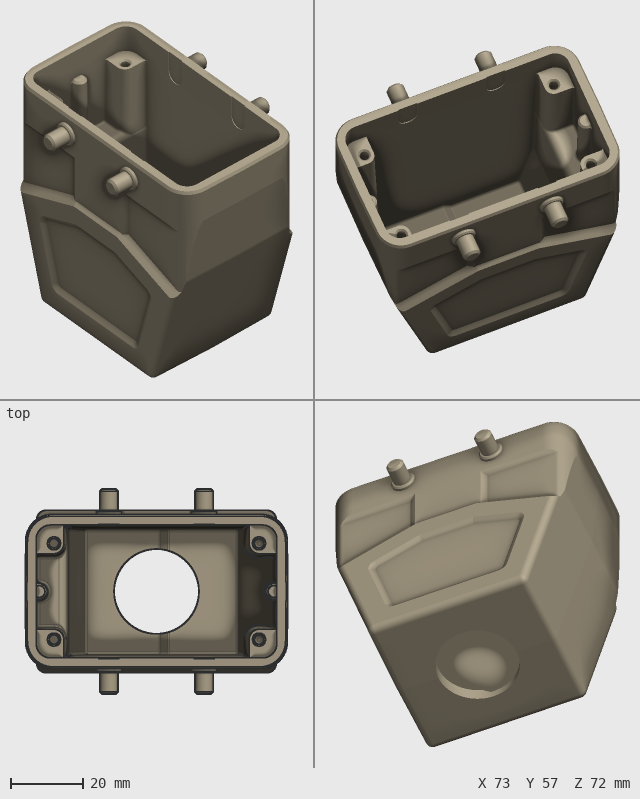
import cadquery as cq
import math

LENGTH = 73.0
HEIGHT = 72.0
RIM_WIDTH = 42.85
BASE_WIDTH = 45.1
RIM_CORNER_RADIUS = 7.45
RIM_EDGE_INSET = 0.5
RIM_EDGE_DROP = 0.9
MOULD_DRAFT = 0.7
FLANK_TOP_Z = 60.8
FLANK_BEND_X = 34.5
FLANK_BEND_RADIUS = 5.85
FLANK_BEND_Z = 40.0
BASE_SIDE_ANGLE = 15.0
BASE_EDGE_RADIUS = 2.05

ROOF_HALF_WIDTH = 9.05
ROOF_Z = 42.85
ROOF_PITCH = 20.4
ROOF_BEVEL = 44.0

RECESS_DEPTH = 1.0
RECESS_SLOPE = 60.0
WINDOW_INNER_X = 9.85
WINDOW_TOP_Z = 59.0
WINDOW_EDGE_RADIUS = 1.75
PANEL_HALF_TOP = 8.1
PANEL_TOP_Z = 36.95
PANEL_BOTTOM_Z = 7.75
PANEL_HALF_BOTTOM = 17.8
PANEL_CORNER_RADIUS = 2.9

PIN_X = 13.2
PIN_Z = 65.7
PIN_RADIUS = 2.55
PIN_SPAN = 57.0
PIN_TIP_CHAMFER = 0.65
COLLAR_RADIUS = 3.5
COLLAR_CHAMFER = 0.45

MOUTH_LENGTH = 66.9
MOUTH_WIDTH = 36.95
MOUTH_CORNER_RADIUS = 4.1
MOUTH_FLOOR_Z = 63.3
CAVITY_DRAFT = 1.0
CAVITY_BEND_X = 32.2
LEFT_FLOOR_Z = 2.55
RIGHT_FLOOR_Z = 4.2
FLOOR_STEP_START_X = 0.9
FLOOR_STEP_END_X = 3.2
RIGHT_FLOOR_X = 22.6
LEFT_FLOOR_X = -19.85
LEDGE_Z = 41.6
LEDGE_OUTER_X = -33.15
LEDGE_INNER_X = -25.0
LEDGE_RADIUS = 2.2
LEFT_SLOPE_X = -24.3
LEFT_SLOPE_Z = 19.0
LEDGE_BORDER_RADIUS = 0.7
FLOOR_RADIUS = 0.9
OPENING_DIAMETER = 23.5

POST_INNER_X = 25.8
POST_INNER_Y = 10.5
POST_CORNER_RADIUS = 2.6
POST_WALL_RADIUS = 0.7
POST_DRAFT = 1.8
SCREW_X = 28.5
SCREW_Y = 13.35
SCREW_RADIUS = 1.3
SCREW_CHAMFER = 0.5
SCREW_DEPTH = 14.6
KEY_X = 32.55
KEY_TOP_Z = 62.5
KEY_RADIUS = 2.2
KEY_CHAMFER = 0.6
KEY_DRAFT = 1.0
GROOVE_WIDTH = 5.55
GROOVE_DEPTH = 0.2
GROOVE_CENTRE_Z = 65.25

OVERSHOOT = 3.65
SIDE_SLOPE = math.tan(math.radians(BASE_SIDE_ANGLE))
ROOF_SLOPE = math.tan(math.radians(ROOF_PITCH))


def on_both_long_sides(shape):
    """The shape together with its mirror image in the plane Y = 0."""
    return shape.union(shape.mirror("XZ"))


def long_face_sketch(y):
    """Workplane on the plane Y = y, with local x = X, local y = Z, normal -Y."""
    return cq.Workplane("XZ", origin=(0, y, 0))


def flank_block():
    """Front outline drawn out from the parting plane to -Y with draft, its edges rounded."""
    half = LENGTH / 2
    bottom = FLANK_BEND_X - FLANK_BEND_Z * SIDE_SLOPE
    top_z = HEIGHT + OVERSHOOT
    half_block = (
        long_face_sketch(0)
        .polyline([
            (-bottom, 0), (bottom, 0), (FLANK_BEND_X, FLANK_BEND_Z), (half, FLANK_TOP_Z), (half, top_z),
            (-half, top_z), (-half, FLANK_TOP_Z), (-FLANK_BEND_X, FLANK_BEND_Z),
        ])
        .close()
        .extrude(BASE_WIDTH / 2, taper=MOULD_DRAFT)
    )
    for side in (-1, 1):
        bend = cq.selectors.NearestToPointSelector((side * FLANK_BEND_X, -BASE_WIDTH / 4, FLANK_BEND_Z))
        half_block = half_block.edges(bend).fillet(FLANK_BEND_RADIUS)
    bottom_ends = half_block.faces("<Z").edges("not |X")
    long_face_edges = half_block.faces("<Y").edges("not >Z")
    return half_block.newObject(bottom_ends.vals() + long_face_edges.vals()).fillet(BASE_EDGE_RADIUS)


def window_cutter(side):
    """Recess beside the middle web; it runs out over the corner and down behind the base."""
    outer_x = LENGTH
    bottom_z = -OVERSHOOT
    return (
        long_face_sketch(-RIM_WIDTH / 2)
        .moveTo(side * (WINDOW_INNER_X + outer_x) / 2, (WINDOW_TOP_Z + bottom_z) / 2)
        .rect(outer_x - WINDOW_INNER_X, WINDOW_TOP_Z - bottom_z)
        .extrude(-RECESS_DEPTH, taper=RECESS_SLOPE)
    )


def upper_half(block):
    """Half of the hood with the rounded plan and bevelled rim, recessed beside the middle web."""
    half_width = RIM_WIDTH / 2
    half_end = LENGTH / 2 - half_width * math.tan(math.radians(MOULD_DRAFT))
    plan = (
        cq.Workplane("XY")
        .polyline([
            (-LENGTH / 2, 0), (-half_end, -half_width), (half_end, -half_width), (LENGTH / 2, 0),
        ])
        .close()
        .extrude(HEIGHT)
        .edges("|Z and (not <X) and (not >X)")
        .fillet(RIM_CORNER_RADIUS)
        .faces(">Z")
        .edges("not >Y")
        .chamfer(RIM_EDGE_DROP, RIM_EDGE_INSET)
    )
    upper = block.intersect(plan)
    for side in (-1, 1):
        upper = upper.cut(window_cutter(side))
    window_floor_y = RECESS_DEPTH - half_width
    for side in (-1, 1):
        outer_edge = cq.selectors.NearestToPointSelector((side * LENGTH / 2, window_floor_y, LEDGE_Z))
        upper = upper.edges("|Z").edges(outer_edge).fillet(WINDOW_EDGE_RADIUS)
    return upper


def panel_cutter():
    """Five-sided shallow panel with sloping borders."""
    rise = PANEL_TOP_Z - PANEL_BOTTOM_Z
    corner_x = PANEL_HALF_BOTTOM + SIDE_SLOPE * (rise + ROOF_SLOPE * PANEL_HALF_TOP)
    corner_x /= 1 + SIDE_SLOPE * ROOF_SLOPE
    corner_z = PANEL_TOP_Z - ROOF_SLOPE * (corner_x - PANEL_HALF_TOP)
    outline = [
        (-PANEL_HALF_BOTTOM, PANEL_BOTTOM_Z), (PANEL_HALF_BOTTOM, PANEL_BOTTOM_Z), (corner_x, corner_z),
        (PANEL_HALF_TOP, PANEL_TOP_Z), (-PANEL_HALF_TOP, PANEL_TOP_Z), (-corner_x, corner_z),
    ]
    sketch = cq.Sketch().polygon(outline + outline[:1])
    sketch = sketch.vertices("<Y or <X or >X").fillet(PANEL_CORNER_RADIUS)
    return long_face_sketch(-BASE_WIDTH / 2).placeSketch(sketch).extrude(-RECESS_DEPTH, taper=RECESS_SLOPE)


def base_half(block):
    """Half of the thicker base under the bevelled roof line, with its recessed panel."""
    reach = LENGTH
    eave_z = ROOF_Z - ROOF_SLOPE * (reach - ROOF_HALF_WIDTH)
    under_roof = (
        long_face_sketch(-BASE_WIDTH / 2)
        .polyline([
            (-reach, -reach), (reach, -reach), (reach, eave_z), (ROOF_HALF_WIDTH, ROOF_Z),
            (-ROOF_HALF_WIDTH, ROOF_Z), (-reach, eave_z),
        ])
        .close()
        .extrude(-BASE_WIDTH / 2, taper=-ROOF_BEVEL)
    )
    return block.intersect(under_roof).cut(panel_cutter())


def outer_body():
    """Solid hood without its cavity."""
    block = flank_block()
    return on_both_long_sides(upper_half(block).union(base_half(block)))


def add_pins(body):
    """Two locking pins with collars on each long side."""
    wall_y = RIM_WIDTH / 2
    collar_y = BASE_WIDTH / 2
    inside_y = wall_y - 0.7
    start = long_face_sketch(-inside_y).pushPoints([(-PIN_X, PIN_Z), (PIN_X, PIN_Z)])
    collars = start.circle(COLLAR_RADIUS).extrude(collar_y - inside_y).faces("<Y").chamfer(COLLAR_CHAMFER)
    start = long_face_sketch(-inside_y).pushPoints([(-PIN_X, PIN_Z), (PIN_X, PIN_Z)])
    pins = start.circle(PIN_RADIUS).extrude(PIN_SPAN / 2 - inside_y).faces("<Y").chamfer(PIN_TIP_CHAMFER)
    return body.union(on_both_long_sides(collars)).union(on_both_long_sides(pins))


def cavity():
    """Hollow below the mouth, with a stepped floor, a ledge on the left and a sloping wall on the right."""
    mouth_x = MOUTH_LENGTH / 2
    mouth_y = MOUTH_WIDTH / 2
    section = (
        long_face_sketch(mouth_y)
        .polyline([
            (-mouth_x, MOUTH_FLOOR_Z), (LEDGE_OUTER_X, LEDGE_Z), (LEDGE_INNER_X, LEDGE_Z),
            (LEFT_SLOPE_X, LEFT_SLOPE_Z), (LEFT_FLOOR_X, LEFT_FLOOR_Z), (FLOOR_STEP_START_X, LEFT_FLOOR_Z),
            (FLOOR_STEP_END_X, RIGHT_FLOOR_Z), (RIGHT_FLOOR_X, RIGHT_FLOOR_Z),
            (CAVITY_BEND_X, FLANK_BEND_Z), (mouth_x, MOUTH_FLOOR_Z),
        ])
        .close()
        .extrude(MOUTH_WIDTH)
    )
    side_draft = (
        cq.Workplane("XY", origin=(0, 0, MOUTH_FLOOR_Z))
        .rect(2 * LENGTH, MOUTH_WIDTH)
        .extrude(-MOUTH_FLOOR_Z, taper=CAVITY_DRAFT)
    )
    lower = section.intersect(side_draft)
    ledge_edge = cq.selectors.NearestToPointSelector((LEDGE_INNER_X, 0, LEDGE_Z))
    lower = lower.edges(ledge_edge).fillet(LEDGE_RADIUS)
    floor_zone = cq.selectors.BoxSelector((-LENGTH, -LENGTH, 0), (LENGTH, LENGTH, LEDGE_Z - OVERSHOOT))
    return lower.edges(floor_zone).fillet(FLOOR_RADIUS)


def mouth():
    """Straight-walled upper end of the hollow."""
    return (
        cq.Workplane("XY", origin=(0, 0, MOUTH_FLOOR_Z))
        .rect(MOUTH_LENGTH, MOUTH_WIDTH)
        .extrude(HEIGHT - MOUTH_FLOOR_Z)
        .edges("|Z")
        .fillet(MOUTH_CORNER_RADIUS)
    )


def corner_post(side_x, side_y):
    """Drafted post in a cavity corner; its outer sides sink into the walls."""
    outer = LENGTH
    post = (
        cq.Workplane("XY", origin=(0, 0, MOUTH_FLOOR_Z))
        .moveTo(side_x * (POST_INNER_X + outer) / 2, side_y * (POST_INNER_Y + outer) / 2)
        .sketch()
        .rect(outer - POST_INNER_X, outer - POST_INNER_Y)
        .vertices()
        .fillet(POST_CORNER_RADIUS)
        .finalize()
        .extrude(-MOUTH_FLOOR_Z, taper=-POST_DRAFT)
    )
    screw_hole = (
        cq.Workplane("XY", origin=(side_x * SCREW_X, side_y * SCREW_Y, MOUTH_FLOOR_Z))
        .circle(SCREW_RADIUS + SCREW_CHAMFER)
        .workplane(offset=-SCREW_CHAMFER)
        .circle(SCREW_RADIUS)
        .loft()
        .faces("<Z")
        .workplane()
        .circle(SCREW_RADIUS)
        .extrude(SCREW_DEPTH - SCREW_CHAMFER)
    )
    return post.cut(screw_hole)


def key_post(side):
    """Rounded guide rib on a short cavity wall."""
    base_radius = KEY_RADIUS + KEY_TOP_Z * math.tan(math.radians(KEY_DRAFT))
    return (
        cq.Workplane("XZ", origin=(side * KEY_X, 0, 0))
        .polyline([
            (0, 0), (base_radius, 0), (KEY_RADIUS, KEY_TOP_Z - KEY_CHAMFER),
            (KEY_RADIUS - KEY_CHAMFER, KEY_TOP_Z), (0, KEY_TOP_Z),
        ])
        .close()
        .revolve(360, (0, 0, 0), (0, 1, 0))
    )


def pin_grooves():
    """Shallow round-ended grooves in the mouth walls behind the pins."""
    depth_y = MOUTH_WIDTH / 2 + GROOVE_DEPTH
    grooves = cq.Workplane("XY")
    for x in (-PIN_X, PIN_X):
        round_end = long_face_sketch(depth_y).moveTo(x, GROOVE_CENTRE_Z).circle(GROOVE_WIDTH / 2)
        straight_height = HEIGHT - GROOVE_CENTRE_Z
        straight = long_face_sketch(depth_y).moveTo(x, GROOVE_CENTRE_Z + straight_height / 2)
        grooves = grooves.union(round_end.extrude(2 * depth_y))
        grooves = grooves.union(straight.rect(GROOVE_WIDTH, straight_height).extrude(2 * depth_y))
    return grooves


def hollow():
    """Cavity less the posts and ribs that stand in it."""
    space = cavity()
    for side_x in (-1, 1):
        space = space.cut(key_post(side_x))
        for side_y in (-1, 1):
            space = space.cut(corner_post(side_x, side_y))
    post_mid_z = (MOUTH_FLOOR_Z + LEDGE_Z) / 2
    for side_x in (-1, 1):
        for side_y in (-1, 1):
            at_short_wall = (side_x * MOUTH_LENGTH / 2, side_y * POST_INNER_Y, post_mid_z)
            at_long_wall = (side_x * POST_INNER_X, side_y * MOUTH_WIDTH / 2, post_mid_z)
            for corner in (at_short_wall, at_long_wall):
                space = space.edges(cq.selectors.NearestToPointSelector(corner)).fillet(POST_WALL_RADIUS)
    ledge_face = cq.selectors.NearestToPointSelector((LEDGE_OUTER_X + LEDGE_RADIUS, MOUTH_WIDTH / 8, LEDGE_Z))
    space = space.faces(ledge_face).edges("not >X").fillet(LEDGE_BORDER_RADIUS)
    return space.union(mouth()).union(pin_grooves())


def cable_opening():
    return cq.Workplane("XY").circle(OPENING_DIAMETER / 2).extrude(RIGHT_FLOOR_Z + OVERSHOOT)


body = add_pins(outer_body())
result = body.cut(hollow()).cut(cable_opening())